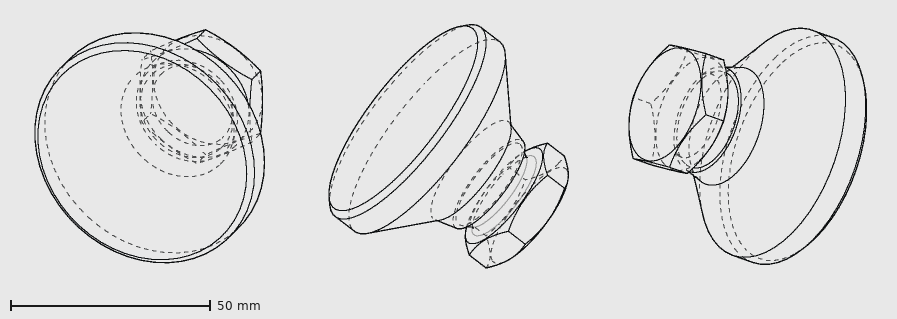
import cadquery as cq
import math


pad_radius = 30.0
pad_chamfer = 1.5
pad_thickness = 7.9
shoulder_y = 22.5
shoulder_radius = pad_radius - (shoulder_y - pad_thickness)
collar_top_y = 28.5
collar_angle = 15.0
collar_top_radius = shoulder_radius - (collar_top_y - shoulder_y) * math.tan(math.radians(collar_angle))

total_height = 42.0
nut_height = 8.5
nut_width = 30.0
nut_face_radius = 14.8
nut_chamfer_angle = 30.0
nut_sides = 6
envelope_margin = 0.6
nut_bottom_y = total_height - nut_height
nut_corner_radius = nut_width / 2 / math.cos(math.pi / nut_sides)

ball_radius = 13.5
ball_center_y = 23.9
neck_start_y = 31.3
waist_y = 32.15
waist_radius = 11.1
neck_top_radius = 12.35


def ball_radius_at(y):
    """Radius of the ball's cross-section at height y."""
    return math.sqrt(ball_radius**2 - (y - ball_center_y) ** 2)


def revolve_about_y(profile):
    return profile.close().revolve(360, (0, 0, 0), (0, 1, 0))


def make_body():
    ball_mid_y = (collar_top_y + neck_start_y) / 2
    profile = (
        cq.Workplane("XY")
        .moveTo(0, 0)
        .lineTo(pad_radius - pad_chamfer, 0)
        .lineTo(pad_radius, pad_chamfer)
        .lineTo(pad_radius, pad_thickness)
        .lineTo(shoulder_radius, shoulder_y)
        .lineTo(collar_top_radius, collar_top_y)
        .lineTo(ball_radius_at(collar_top_y), collar_top_y)
        .threePointArc(
            (ball_radius_at(ball_mid_y), ball_mid_y),
            (ball_radius_at(neck_start_y), neck_start_y),
        )
        .threePointArc((waist_radius, waist_y), (neck_top_radius, nut_bottom_y))
        .lineTo(0, nut_bottom_y)
    )
    return revolve_about_y(profile)


def make_nut():
    corners = [
        (
            nut_corner_radius * math.sin(2 * math.pi * i / nut_sides),
            nut_corner_radius * math.cos(2 * math.pi * i / nut_sides),
        )
        for i in range(nut_sides)
    ]
    hexagon = (
        cq.Workplane("XZ", origin=(0, nut_bottom_y, 0))
        .polyline(corners)
        .close()
        .extrude(-nut_height)
    )
    envelope_radius = nut_corner_radius + envelope_margin
    cone_rise = (envelope_radius - nut_face_radius) * math.tan(math.radians(nut_chamfer_angle))
    envelope = revolve_about_y(
        cq.Workplane("XY")
        .moveTo(0, nut_bottom_y)
        .lineTo(nut_face_radius, nut_bottom_y)
        .lineTo(envelope_radius, nut_bottom_y + cone_rise)
        .lineTo(envelope_radius, total_height - cone_rise)
        .lineTo(nut_face_radius, total_height)
        .lineTo(0, total_height)
    )
    return hexagon.intersect(envelope)


result = make_body().union(make_nut())